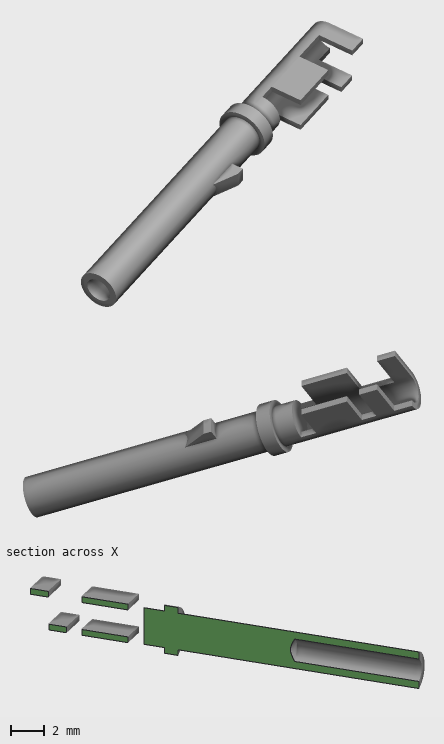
import cadquery as cq

length = 25.0
body_diameter = 2.5
body_radius = body_diameter / 2

bore_diameter = 1.6
bore_depth = 8.0
bore_radius = bore_diameter / 2
drill_point_length = 0.5

collar_diameter = 3.2
collar_start = 15.5
collar_width = 0.9

barrel_length = 7.3
wall = 0.4
barrel_inner_radius = body_radius - wall

insulation_tab_reach = 2.35
insulation_tab_span = 2.35
insulation_tab_width = insulation_tab_span / 2
wire_tab_reach = 2.05
wire_tab_start = 3.3
wire_tab_width = 3.0

barb_reach = 1.9
barb_rear = 12.7
barb_length = 2.1
barb_land = 0.5
barb_height = 1.0


def rod(radius, start, rod_length):
    """Cylinder on the contact axis, running toward +Y from start."""
    return cq.Workplane("XZ", origin=(0, start, 0)).circle(radius).extrude(-rod_length)


def make_body():
    """Full-length rod with its collar."""
    collar = rod(collar_diameter / 2, collar_start, collar_width)
    return rod(body_radius, 0, length).union(collar)


def make_bore():
    """Blind hole in the front end, closed by a cone."""
    return (
        cq.Workplane("XY")
        .moveTo(0, 0)
        .lineTo(bore_radius, 0)
        .lineTo(bore_radius, bore_depth)
        .lineTo(0, bore_depth + drill_point_length)
        .close()
        .revolve(360, (0, 0, 0), (0, 1, 0))
    )


def make_barrel_cut():
    """Material removed at the rear to leave a half-round trough."""
    start = length - barrel_length
    open_side = cq.Workplane("XY").box(
        body_radius, barrel_length, body_diameter, centered=(False, False, True)
    )
    trough = rod(barrel_inner_radius, start, barrel_length)
    return open_side.translate((0, start, 0)).union(trough)


def make_tab(reach, rear_offset, width, side):
    """Flat tab tangent to the trough wall; side is +1 for top, -1 for bottom."""
    tab = cq.Workplane("XY").box(reach, width, wall, centered=(False, False, True))
    mid_height = side * (body_radius - wall / 2)
    return tab.translate((0, length - rear_offset - width, mid_height))


def make_barb():
    """Wedge rising from the front toward a square rear shoulder."""
    root = (body_radius**2 - (barb_height / 2) ** 2) ** 0.5
    front = barb_rear - barb_length
    outline = [
        (0, front),
        (root, front),
        (barb_reach, barb_rear - barb_land),
        (barb_reach, barb_rear),
        (0, barb_rear),
    ]
    return cq.Workplane("XY").polyline(outline).close().extrude(barb_height / 2, both=True)


result = make_body().cut(make_barrel_cut())

for rear_offset, side in ((0, 1), (insulation_tab_width, -1)):
    result = result.union(make_tab(insulation_tab_reach, rear_offset, insulation_tab_width, side))

for side in (1, -1):
    result = result.union(make_tab(wire_tab_reach, wire_tab_start, wire_tab_width, side))

result = result.union(make_barb()).cut(make_bore())